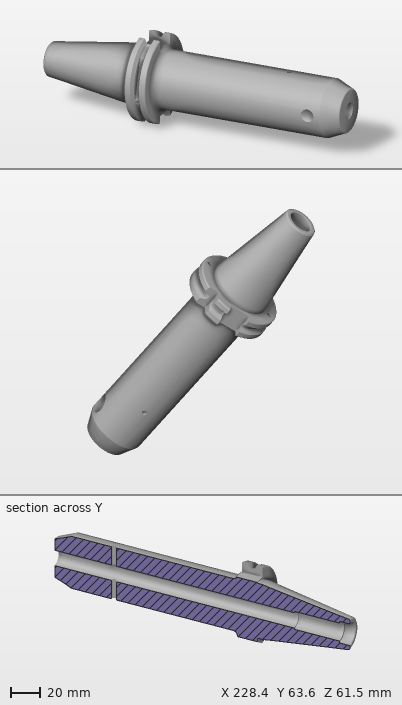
import cadquery as cq
import math

GAUGE_DIA = 44.45
TAPER_RATIO = 7 / 24
TAPER_LENGTH = 68.4
TAPER_SMALL_DIA = GAUGE_DIA - TAPER_RATIO * TAPER_LENGTH
TAPER_EDGE_CHAMFER = 1.0

FLANGE_DIA = 63.55
FLANGE_START = 3.2
FLANGE_END = 19.1
FLANGE_EDGE_FILLET = 1.0
GROOVE_CENTRE = 11.1
GROOVE_WIDTH = 7.0
GROOVE_FLOOR_DIA = 56.25
GROOVE_HALF_ANGLE = 30

SLOT_WIDTH = 16.1
TOP_SLOT_FLOOR = 22.8
BOTTOM_SLOT_FLOOR = 25.0
NOTCH_Y = 18.2
NOTCH_Z = -18.4

FLAT_DISTANCE = 24.0
FLAT_TILT = 15
FLAT_WIDTH = 3.4

COOLANT_DIA = 4.0
COOLANT_DEPTH = 6.0
COOLANT_POINT_ANGLE = 118
COOLANT_CIRCLE_DIA = 54.0
COOLANT_ANGLE = 20
COOLANT_PLUG_DIA = 3.6
COOLANT_PLUG_FLOOR = 25.0

BODY_DIA = 42.0
BODY_END = 160.0
BODY_ROOT_FILLET = 3.0
NOSE_LENGTH = 13.0
NOSE_END_DIA = 31.0
NOSE_FILLET = 1.0

BORE_DIA = 12.0
DRAWBAR_DIA = 14.0
DRAWBAR_DEPTH = 43.0
PILOT_DIA = 17.0
PILOT_DEPTH = 8.2
PILOT_CHAMFER = 0.5

DIMPLE_X = 138.0
FRONT_DIMPLE_RADIUS = 5.3
FRONT_DIMPLE_DEPTH = 3.1
BACK_DIMPLE_RADIUS = 7.2
BACK_DIMPLE_DEPTH = 7.0
CROSS_HOLE_X = 114.3
CROSS_HOLE_DIA = 3.5


def fillet_circles(solid, circles, fillet_radius):
    """Round the circular edges about X, each given as (x position, radius)."""
    tolerance = 0.01
    edges = [
        edge
        for edge in solid.edges("%CIRCLE").vals()
        for x, radius in circles
        if abs(edge.Center().x - x) < tolerance and abs(edge.radius() - radius) < tolerance
    ]
    return solid.newObject(edges).fillet(fillet_radius)


def make_turned_body():
    taper_r = TAPER_SMALL_DIA / 2
    gauge_r = GAUGE_DIA / 2
    flange_r = FLANGE_DIA / 2
    floor_r = GROOVE_FLOOR_DIA / 2
    body_r = BODY_DIA / 2
    nose_start = BODY_END - NOSE_LENGTH
    half_top = GROOVE_WIDTH / 2
    half_floor = half_top - (flange_r - floor_r) * math.tan(math.radians(GROOVE_HALF_ANGLE))
    turned = (
        cq.Workplane("XY")
        .moveTo(-TAPER_LENGTH, 0)
        .lineTo(-TAPER_LENGTH, taper_r - TAPER_EDGE_CHAMFER)
        .lineTo(-TAPER_LENGTH + TAPER_EDGE_CHAMFER, taper_r + TAPER_EDGE_CHAMFER * TAPER_RATIO / 2)
        .lineTo(0, gauge_r)
        .lineTo(FLANGE_START, gauge_r)
        .lineTo(FLANGE_START, flange_r - FLANGE_EDGE_FILLET)
        .radiusArc((FLANGE_START + FLANGE_EDGE_FILLET, flange_r), FLANGE_EDGE_FILLET)
        .lineTo(GROOVE_CENTRE - half_top, flange_r)
        .lineTo(GROOVE_CENTRE - half_floor, floor_r)
        .lineTo(GROOVE_CENTRE + half_floor, floor_r)
        .lineTo(GROOVE_CENTRE + half_top, flange_r)
        .lineTo(FLANGE_END - FLANGE_EDGE_FILLET, flange_r)
        .radiusArc((FLANGE_END, flange_r - FLANGE_EDGE_FILLET), FLANGE_EDGE_FILLET)
        .lineTo(FLANGE_END, body_r + BODY_ROOT_FILLET)
        .radiusArc((FLANGE_END + BODY_ROOT_FILLET, body_r), -BODY_ROOT_FILLET)
        .lineTo(nose_start, body_r)
        .lineTo(BODY_END, NOSE_END_DIA / 2)
        .lineTo(BODY_END, 0)
        .close()
        .revolve(360, (0, 0, 0), (1, 0, 0))
    )
    nose_corners = [(nose_start, body_r), (BODY_END, NOSE_END_DIA / 2)]
    return fillet_circles(turned, nose_corners, NOSE_FILLET)


def box(x_range, y_range, z_range):
    lows, highs = zip(x_range, y_range, z_range)
    sizes = [high - low for low, high in zip(lows, highs)]
    return cq.Workplane("XY").box(*sizes, centered=False).translate(lows)


def cylinder(start, direction, diameter, length):
    return cq.Workplane(
        cq.Solid.makeCylinder(diameter / 2, length, cq.Vector(*start), cq.Vector(*direction))
    )


def cone(start, direction, start_diameter, end_diameter, length):
    return cq.Workplane(
        cq.Solid.makeCone(
            start_diameter / 2, end_diameter / 2, length, cq.Vector(*start), cq.Vector(*direction)
        )
    )


def make_flange_cuts():
    x_range = (FLANGE_START, FLANGE_END)
    slot_y = (-SLOT_WIDTH / 2, SLOT_WIDTH / 2)
    top_slot = box(x_range, slot_y, (TOP_SLOT_FLOOR, FLANGE_DIA))
    bottom_slot = box(x_range, slot_y, (-FLANGE_DIA, -BOTTOM_SLOT_FLOOR))
    notch = box(x_range, (NOTCH_Y, FLANGE_DIA), (-FLANGE_DIA, NOTCH_Z))
    return top_slot.union(bottom_slot).union(notch)


def make_groove_flat():
    flat_x = (GROOVE_CENTRE - FLAT_WIDTH / 2, GROOVE_CENTRE + FLAT_WIDTH / 2)
    cutter = box(flat_x, (-FLANGE_DIA, -FLAT_DISTANCE), (-FLANGE_DIA / 2, FLANGE_DIA / 2))
    return cutter.rotate((0, 0, 0), (1, 0, 0), -FLAT_TILT)


def make_coolant_hole(angle):
    radius = COOLANT_CIRCLE_DIA / 2
    y = radius * math.cos(math.radians(angle))
    z = radius * math.sin(math.radians(angle))
    point_length = COOLANT_DIA / 2 / math.tan(math.radians(COOLANT_POINT_ANGLE / 2))
    axial = cylinder((FLANGE_START, y, z), (1, 0, 0), COOLANT_DIA, COOLANT_DEPTH)
    point = cone((FLANGE_START + COOLANT_DEPTH, y, z), (1, 0, 0), COOLANT_DIA, 0, point_length)
    radial_start = (GROOVE_CENTRE, y * COOLANT_PLUG_FLOOR / radius, z * COOLANT_PLUG_FLOOR / radius)
    radial = cylinder(radial_start, (0, y, z), COOLANT_PLUG_DIA, FLANGE_DIA / 2)
    return axial.union(point).union(radial)


def make_bores():
    through = cylinder((-TAPER_LENGTH, 0, 0), (1, 0, 0), BORE_DIA, TAPER_LENGTH + BODY_END)
    drawbar = cylinder((-TAPER_LENGTH, 0, 0), (1, 0, 0), DRAWBAR_DIA, DRAWBAR_DEPTH)
    pilot = cylinder((-TAPER_LENGTH, 0, 0), (1, 0, 0), PILOT_DIA, PILOT_DEPTH)
    mouth_dia = PILOT_DIA + 2 * PILOT_CHAMFER
    mouth = cone((-TAPER_LENGTH, 0, 0), (1, 0, 0), mouth_dia, PILOT_DIA, PILOT_CHAMFER)
    return through.union(drawbar).union(pilot).union(mouth)


def make_dimple(side, radius, depth):
    """Ball sunk to the given depth in the +Y (side = 1) or -Y (side = -1) flank."""
    centre_y = BODY_DIA / 2 - depth + radius
    return cq.Workplane("XY").sphere(radius).translate((DIMPLE_X, side * centre_y, 0))


def make_cross_hole():
    return cylinder((CROSS_HOLE_X, 0, -BODY_DIA / 2), (0, 0, 1), CROSS_HOLE_DIA, BODY_DIA)


result = (
    make_turned_body()
    .cut(make_flange_cuts())
    .cut(make_groove_flat())
    .cut(make_coolant_hole(COOLANT_ANGLE))
    .cut(make_coolant_hole(COOLANT_ANGLE + 180))
    .cut(make_bores())
    .cut(make_dimple(-1, FRONT_DIMPLE_RADIUS, FRONT_DIMPLE_DEPTH))
    .cut(make_dimple(1, BACK_DIMPLE_RADIUS, BACK_DIMPLE_DEPTH))
    .cut(make_cross_hole())
)